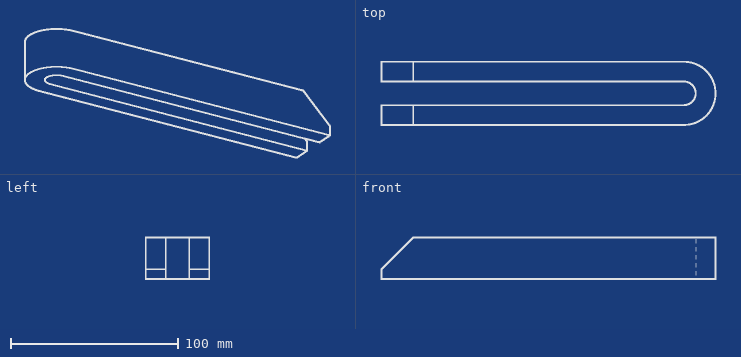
import cadquery as cq

length = 200.0
width = 38.0
height = 25.0

slot_width = 14.0
nose_height = 6.0

outer_radius = width / 2
slot_radius = slot_width / 2
bend_x = length - outer_radius

bevel = height - nose_height


def round_ended_bar(half_width):
    """Bar from X = 0 to the bend, closed by a half round."""
    return (
        cq.Workplane("XY")
        .moveTo(0, -half_width)
        .lineTo(bend_x, -half_width)
        .threePointArc((bend_x + half_width, 0), (bend_x, half_width))
        .lineTo(0, half_width)
        .close()
        .extrude(height)
    )


body = round_ended_bar(outer_radius).cut(round_ended_bar(slot_radius))

tip_wedge = (
    cq.Workplane("XZ")
    .polyline([(0, nose_height), (bevel, height), (0, height)])
    .close()
    .extrude(outer_radius, both=True)
)

result = body.cut(tip_wedge)